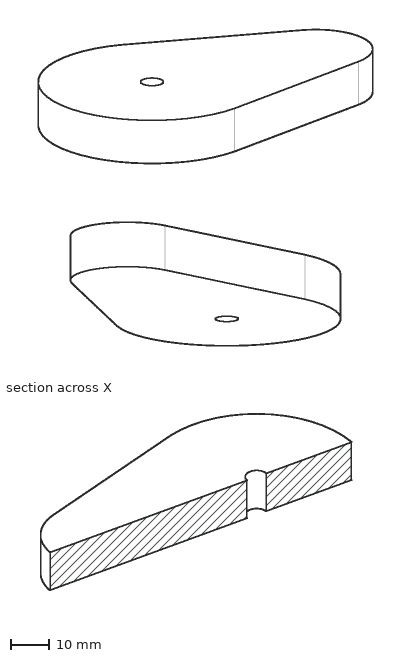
import cadquery as cq
import math

length = 94.8
thickness = 12.0
large_radius = 29.9
small_radius = 15.0
bore_diameter = 6.0

large_join_rise = 7.9
small_join_rise = 4.55

center_distance = length - large_radius - small_radius


def half_width(radius, rise):
    """Half the width of a round end at a given distance from its centre."""
    return math.sqrt(radius**2 - rise**2)


large_join_x = half_width(large_radius, large_join_rise)
small_join_x = half_width(small_radius, small_join_rise)
small_join_y = center_distance + small_join_rise

plate = (
    cq.Workplane("XY")
    .moveTo(-large_join_x, large_join_rise)
    .threePointArc((0, -large_radius), (large_join_x, large_join_rise))
    .lineTo(small_join_x, small_join_y)
    .threePointArc((0, center_distance + small_radius), (-small_join_x, small_join_y))
    .close()
    .extrude(thickness)
)

result = plate.faces(">Z").workplane(origin=(0, 0, thickness)).hole(bore_diameter)